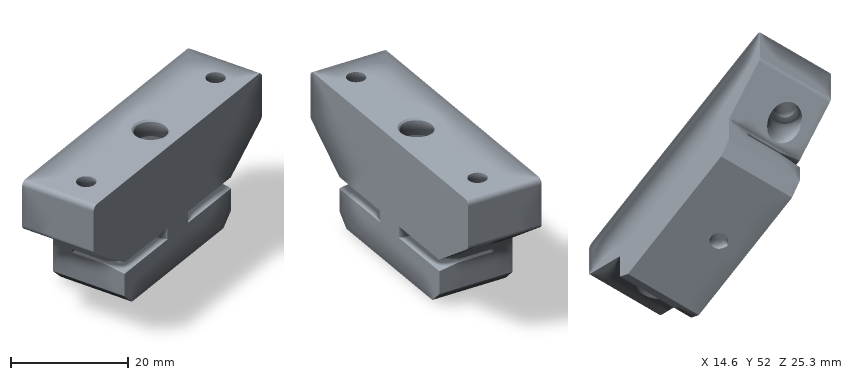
import cadquery as cq
import math

thickness = 14.6
head_width = 52.0
height = 25.3
neck_width = 32.95
neck_height = 9.1
wing_rise = 6.85
base_chamfer = 2.35
edge_radius = 1.0

hole_x = 1.8
wing_hole_spacing = 40.0
wing_hole_diameter = 3.5
counterbore_diameter = 6.0
wing_counterbore_floor = 16.1

centre_hole_diameter = 3.15
teardrop_reach = 1.8
centre_counterbore_depth = 3.15
counterbore_chamfer = 0.3

slot_start_x = -3.45
slot_floor = 7.45
slot_height = 0.6
flare_start_x = 3.45
mouth_floor = 6.8
mouth_ceiling = 9.05

web_length = 10.4
web_mouth_length = 6.25
web_relief = 0.55

side_x = thickness / 2
slot_ceiling = slot_floor + slot_height


def make_body():
    """Extrude the T-shaped outline through the thickness and round the head edges."""
    half_head = head_width / 2
    half_neck = neck_width / 2
    wing_z = neck_height + wing_rise
    right_half = [
        (half_neck - base_chamfer, 0),
        (half_neck, base_chamfer),
        (half_neck, neck_height),
        (half_head, wing_z),
        (half_head, height),
    ]
    left_half = [(-y, z) for y, z in reversed(right_half)]
    body = (
        cq.Workplane("YZ")
        .workplane(offset=-side_x)
        .polyline(right_half + left_half)
        .close()
        .extrude(thickness)
    )
    head_sides = body.faces("<Y or >Y")
    return head_sides.edges("|X").fillet(edge_radius)


def vertical_cylinder(diameter, y, bottom, top):
    return (
        cq.Workplane("XY")
        .workplane(offset=bottom)
        .center(hole_x, y)
        .circle(diameter / 2)
        .extrude(top - bottom)
    )


def make_wing_hole(y):
    """Through hole with a counterbore opening on the sloped underside of the wing."""
    hole = vertical_cylinder(wing_hole_diameter, y, 0, height)
    return hole.union(vertical_cylinder(counterbore_diameter, y, 0, wing_counterbore_floor))


def make_centre_hole():
    """Teardrop through hole with a chamfered counterbore in the top face."""
    radius = centre_hole_diameter / 2
    tangent_angle = math.acos(radius / teardrop_reach)
    tangent_x = radius * math.cos(tangent_angle)
    tangent_y = radius * math.sin(tangent_angle)
    hole = (
        cq.Workplane("XY")
        .center(hole_x, 0)
        .moveTo(teardrop_reach, 0)
        .lineTo(tangent_x, tangent_y)
        .threePointArc((-radius, 0), (tangent_x, -tangent_y))
        .close()
        .extrude(height)
    )
    floor = height - centre_counterbore_depth
    counterbore = vertical_cylinder(counterbore_diameter, 0, floor, height)
    rim = (
        cq.Workplane("XY")
        .workplane(offset=height)
        .center(hole_x, 0)
        .circle(counterbore_diameter / 2 + counterbore_chamfer)
        .workplane(offset=-counterbore_chamfer)
        .circle(counterbore_diameter / 2)
        .loft()
    )
    return hole.union(counterbore).union(rim)


def make_web():
    """Web left standing in the slot: narrower at the mouth, bevelled at its closed end."""
    half_length = web_length / 2
    half_mouth = web_mouth_length / 2
    web = (
        cq.Workplane("XY")
        .polyline([
            (slot_start_x, -half_length),
            (flare_start_x, -half_length),
            (side_x, -half_mouth),
            (side_x, half_mouth),
            (flare_start_x, half_length),
            (slot_start_x, half_length),
        ])
        .close()
        .extrude(height)
    )
    relief = (
        cq.Workplane("XZ")
        .polyline([
            (slot_start_x, slot_floor),
            (slot_start_x + web_relief, slot_floor),
            (slot_start_x, slot_floor + web_relief),
        ])
        .close()
        .extrude(half_length, both=True)
    )
    return web.cut(relief)


def make_belt_slot():
    """Flared slot running along Y through the neck, minus the central web."""
    slot = (
        cq.Workplane("XZ")
        .polyline([
            (slot_start_x, slot_floor),
            (flare_start_x, slot_floor),
            (side_x, mouth_floor),
            (side_x, mouth_ceiling),
            (flare_start_x, slot_ceiling),
            (slot_start_x, slot_ceiling),
        ])
        .close()
        .extrude(neck_width / 2, both=True)
    )
    return slot.cut(make_web())


result = make_body().cut(make_belt_slot()).cut(make_centre_hole())
for side in (-1, 1):
    result = result.cut(make_wing_hole(side * wing_hole_spacing / 2))